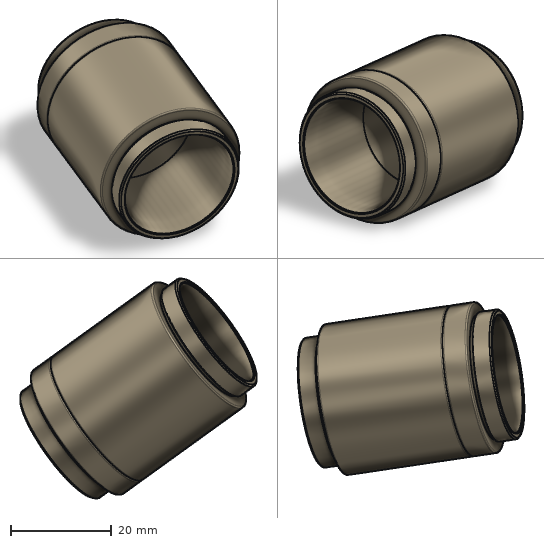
import cadquery as cq


total_length = 40.0
collar_length = 3.75
neck_length = 0.7
shoulder_setback = collar_length + neck_length
flange_length = 5.05
joint_x = shoulder_setback + flange_length
sleeve_end_x = total_length / 2
sleeve_length = sleeve_end_x - joint_x

body_radius = 15.25
collar_radius = 13.1
neck_radius = 12.6
sleeve_radius = collar_radius
bore_radius = 11.85

collar_chamfer = 0.3
bore_chamfer = 0.2
body_fillet = 0.3


def tube(start_x, length, outer_radius):
    """Bored cylinder along X."""
    return (
        cq.Workplane("YZ")
        .workplane(offset=start_x)
        .circle(outer_radius)
        .circle(bore_radius)
        .extrude(length)
    )


def rounded_body(start_x, length):
    """Full-diameter section with both outer rims rounded."""
    outer_rims = cq.selectors.RadiusNthSelector(-1)
    section = tube(start_x, length, body_radius)
    return section.edges(outer_rims).fillet(body_fillet)


def end_collar(start_x, end_face):
    """Stepped collar with its inner and outer rims chamfered on the open end face."""
    outer_rim = cq.selectors.RadiusNthSelector(-1)
    bore_rim = cq.selectors.RadiusNthSelector(0)
    collar = tube(start_x, collar_length, collar_radius)
    collar = collar.faces(end_face).edges(outer_rim).chamfer(collar_chamfer)
    return collar.faces(end_face).edges(bore_rim).chamfer(bore_chamfer)


def make_front_ring():
    """Front collar, relief neck and flange, with a sleeve reaching past the joint."""
    collar = end_collar(0, "<X")
    neck = tube(collar_length, neck_length, neck_radius)
    flange = rounded_body(shoulder_setback, flange_length)
    sleeve = tube(joint_x, sleeve_length, sleeve_radius)
    return collar.union(neck).union(flange).union(sleeve)


def sleeve_counterbore():
    """Solid cylinder that clears the barrel for the ring's sleeve."""
    return cq.Workplane("YZ").workplane(offset=joint_x).circle(sleeve_radius).extrude(sleeve_length)


def make_main_barrel():
    """Long counterbored barrel from the joint to the rear shoulder, then neck and rear collar."""
    shoulder_x = total_length - shoulder_setback
    rear_collar_x = total_length - collar_length
    barrel = rounded_body(joint_x, shoulder_x - joint_x)
    neck = tube(shoulder_x, neck_length, neck_radius)
    collar = end_collar(rear_collar_x, ">X")
    return barrel.union(neck).union(collar).cut(sleeve_counterbore())


front_ring = make_front_ring()
main_barrel = make_main_barrel()

result = cq.Compound.makeCompound([front_ring.val(), main_barrel.val()])